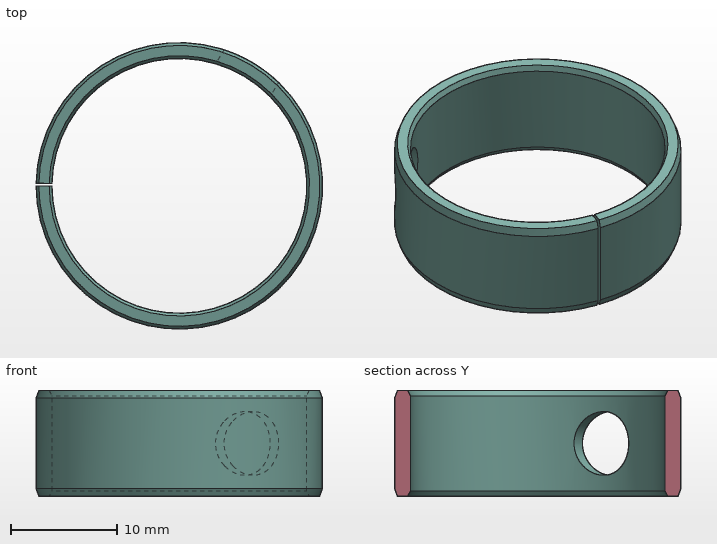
import cadquery as cq

outer_diameter = 27
wall = 1.5
height = 10
outer_radius = outer_diameter / 2
inner_radius = outer_radius - wall

bevel_depth = 0.27
outer_bevel_height = 0.73
inner_bevel_height = 0.5

slit_angle = 1
hole_diameter = 6.0
hole_angle = 59


def ring_body():
    """Revolve the bevelled wall section from -X, stopping short to leave the slit."""
    top = height / 2
    outer_bevel_start = top - outer_bevel_height
    inner_bevel_start = top - inner_bevel_height
    section = [
        (inner_radius, -inner_bevel_start),
        (inner_radius + bevel_depth, -top),
        (outer_radius - bevel_depth, -top),
        (outer_radius, -outer_bevel_start),
        (outer_radius, outer_bevel_start),
        (outer_radius - bevel_depth, top),
        (inner_radius + bevel_depth, top),
        (inner_radius, inner_bevel_start),
    ]
    profile = cq.Workplane("XZ").polyline(section).close()
    ring = profile.revolve(360 - slit_angle, (0, 0, 0), (0, 1, 0))
    return ring.rotate((0, 0, 0), (0, 0, 1), 180)


def hole_cutter():
    """Radial cylinder from the ring axis out through one wall."""
    cylinder = cq.Workplane("YZ").circle(hole_diameter / 2).extrude(outer_diameter)
    return cylinder.rotate((0, 0, 0), (0, 0, 1), hole_angle)


result = ring_body().cut(hole_cutter())